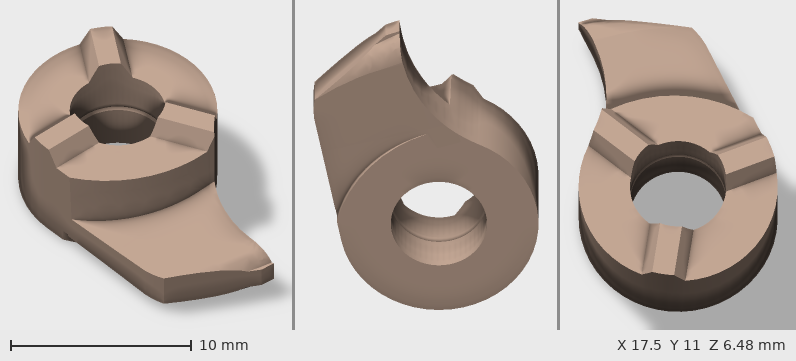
import cadquery as cq
import math

HUB_DIAMETER = 11.0
HUB_RADIUS = HUB_DIAMETER / 2
BORE_RADIUS = 2.66
HUB_HEIGHT = 5.32
TOP_RELIEF_DRAFT = 1.5

TOOTH_HEIGHT = 1.02
TOOTH_BASE_WIDTH = 2.45
TOOTH_TOP_WIDTH = 1.22
TOOTH_ANGLES = (30, 150, 270)
TOTAL_HEIGHT = HUB_HEIGHT + TOOTH_HEIGHT

BACK_ANGLE = math.radians(-85)
RAKE_START_ANGLE = math.radians(39.5)
BACK_TANGENT = (HUB_RADIUS * math.cos(BACK_ANGLE), HUB_RADIUS * math.sin(BACK_ANGLE))
BACK_END = (7.66, -4.85)
HEEL_MID = (8.52, -4.72)
HEEL = (9.31, -4.43)
FLANK_END = (11.94, 0.42)
TIP = (17.5 - HUB_RADIUS, 1.25)
RAKE_MID = (8.14, 1.15)
RAKE_START = (HUB_RADIUS * math.cos(RAKE_START_ANGLE), HUB_RADIUS * math.sin(RAKE_START_ANGLE))

BLADE_MID_Z = 1.33
BEND_X = 5.95
BEND_Y = 1.26
BEND_HALF = 1.356
INNER_SLOPE = 0.02
OUTER_SLOPE = 0.03
CLEARANCE_SLOPE = 0.079
TIP_RADIUS = 1.49
TIP_CENTRE_X = TIP[0] - TIP_RADIUS
TIP_RADIUS_SLOPE = 0.08
TIP_SETBACK_LINEAR = 0.07
TIP_SETBACK_QUADRATIC = 0.032
TIP_STATIONS = (2.62, 0.88, -0.88, -2.62, -4.38, -6.12)

TOP_RELIEF = ((2.2, -5.32), (4.85, -2.1), (5.53, 1.98))
BOTTOM_RELIEF = ((1.73, -5.37), (4.69, -2.36), (5.65, 1.98))

TOP_RELIEF_Z = 1.92
BOTTOM_RELIEF_Z = 0.7

RING_BOTTOM_Z = 2.5
RING_LAND = 0.1
RING_CHAMFER_HEIGHT = 0.18
RING_CHAMFER_DEPTH = 0.1
RING_WALL = 0.35
RING_TOP_Z = RING_BOTTOM_Z + RING_LAND + RING_CHAMFER_HEIGHT
RING_OUTER_RADIUS = BORE_RADIUS + RING_WALL
LIP_HEIGHT = 0.33
LIP_ARC_RADIUS = (RING_CHAMFER_DEPTH ** 2 + LIP_HEIGHT ** 2) / (2 * RING_CHAMFER_DEPTH)
LIP_TOP_Z = RING_TOP_Z + LIP_HEIGHT

REACH = 7.88


def outline_prism(bottom, top):
    return (
        cq.Workplane("XY").workplane(offset=bottom)
        .moveTo(*RAKE_START)
        .threePointArc((-HUB_RADIUS, 0), BACK_TANGENT)
        .lineTo(*BACK_END)
        .threePointArc(HEEL_MID, HEEL)
        .lineTo(*FLANK_END)
        .lineTo(*TIP)
        .threePointArc(RAKE_MID, RAKE_START)
        .close()
        .extrude(top - bottom)
    )


def blade_section(x):
    """Closed wire across the blade at x, tapering towards the back."""
    slope = INNER_SLOPE if x < BEND_X else OUTER_SLOPE
    half = BEND_HALF + slope * (x - BEND_X)
    back_half = half - CLEARANCE_SLOPE * (BEND_Y + REACH)
    corners = [
        (-REACH, -back_half), (BEND_Y, -half), (REACH, -half),
        (REACH, half), (BEND_Y, half), (-REACH, back_half),
    ]
    return cq.Wire.makePolygon([cq.Vector(x, y, BLADE_MID_Z + z) for y, z in corners], close=True)


def tip_section(y):
    """Closed wire at y with a full-radius end, shrinking towards the back."""
    radius = TIP_RADIUS + TIP_RADIUS_SLOPE * (y - TIP[1])
    distance = TIP[1] - y
    centre = TIP_CENTRE_X - TIP_SETBACK_LINEAR * distance - TIP_SETBACK_QUADRATIC * distance ** 2
    return (
        cq.Workplane("XZ", origin=(0, y, BLADE_MID_Z))
        .moveTo(0, -radius)
        .lineTo(centre, -radius)
        .threePointArc((centre + radius, 0), (centre, radius))
        .lineTo(0, radius)
        .close()
        .wires().val()
    )


def make_blade():
    stations = (RAKE_START[0] / 2, BEND_X, TIP[0] + 0.18)
    sections = [blade_section(x) for x in stations]
    thickness = cq.Workplane(cq.Solid.makeLoft(sections[:2], True))
    thickness = thickness.union(cq.Workplane(cq.Solid.makeLoft(sections[1:], True)))
    round_end = cq.Solid.makeLoft([tip_section(y) for y in TIP_STATIONS], False)
    return outline_prism(-REACH, REACH).intersect(thickness).intersect(cq.Workplane(round_end))


def relief(arc, start_z, depth, draft):
    """Region beyond a relief arc, extruded from start_z."""
    back, middle, rake = arc
    far = TIP[0] + REACH
    return (
        cq.Workplane("XY").workplane(offset=start_z)
        .moveTo(back[0], -REACH)
        .lineTo(*back)
        .threePointArc(middle, rake)
        .lineTo(rake[0], REACH)
        .lineTo(far, REACH)
        .lineTo(far, -REACH)
        .close()
        .extrude(depth, taper=draft)
    )


def make_tooth(angle):
    half_base = TOOTH_BASE_WIDTH / 2
    half_top = TOOTH_TOP_WIDTH / 2
    return (
        cq.Workplane("YZ")
        .polyline([
            (-half_base, HUB_HEIGHT), (half_base, HUB_HEIGHT),
            (half_top, TOTAL_HEIGHT), (-half_top, TOTAL_HEIGHT),
        ])
        .close()
        .extrude(REACH)
        .rotate((0, 0, 0), (0, 0, 1), angle)
    )


def make_hub():
    hub = outline_prism(0, HUB_HEIGHT)
    tooth_bounds = outline_prism(HUB_HEIGHT, TOTAL_HEIGHT)
    for angle in TOOTH_ANGLES:
        hub = hub.union(make_tooth(angle).intersect(tooth_bounds))
    hub = hub.cut(relief(TOP_RELIEF, TOTAL_HEIGHT, TOP_RELIEF_Z - TOTAL_HEIGHT, TOP_RELIEF_DRAFT))
    return hub.cut(relief(BOTTOM_RELIEF, 0, BOTTOM_RELIEF_Z, 0))


def make_ring():
    return (
        cq.Workplane("XZ")
        .polyline([
            (BORE_RADIUS, RING_BOTTOM_Z),
            (RING_OUTER_RADIUS, RING_BOTTOM_Z),
            (RING_OUTER_RADIUS, RING_TOP_Z),
            (BORE_RADIUS + RING_CHAMFER_DEPTH, RING_TOP_Z),
            (BORE_RADIUS, RING_BOTTOM_Z + RING_LAND),
        ])
        .close()
        .revolve(360, (0, 0), (0, 1))
    )


def make_groove():
    """Ring groove whose upper lip curves tangentially into the bore."""
    lip_mid_z = LIP_TOP_Z - LIP_HEIGHT / 2
    lip_mid_depth = LIP_ARC_RADIUS - math.sqrt(LIP_ARC_RADIUS ** 2 - (LIP_HEIGHT / 2) ** 2)
    return (
        cq.Workplane("XZ")
        .moveTo(0, RING_BOTTOM_Z)
        .lineTo(RING_OUTER_RADIUS, RING_BOTTOM_Z)
        .lineTo(RING_OUTER_RADIUS, RING_TOP_Z)
        .lineTo(BORE_RADIUS + RING_CHAMFER_DEPTH, RING_TOP_Z)
        .threePointArc((BORE_RADIUS + lip_mid_depth, lip_mid_z), (BORE_RADIUS, LIP_TOP_Z))
        .lineTo(0, LIP_TOP_Z)
        .close()
        .revolve(360, (0, 0), (0, 1))
    )


def make_insert():
    bore = cq.Workplane("XY").workplane(offset=-REACH).circle(BORE_RADIUS).extrude(REACH + TOTAL_HEIGHT)
    return make_hub().union(make_blade()).cut(bore).cut(make_groove())


insert = make_insert()
ring = make_ring()

result = cq.Compound.makeCompound([insert.solids().val(), ring.val()])